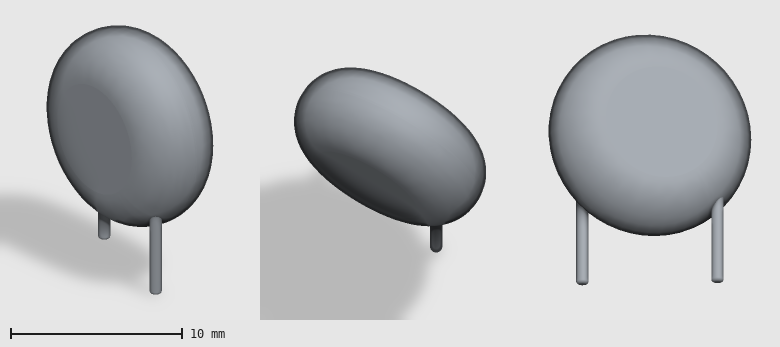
import cadquery as cq

body_diameter = 12.0
body_thickness = 5.4
edge_radius = 2.63

overall_height = 15.03
lead_diameter = 0.72
lead_pitch = 7.5
lead_stagger = 2.4
lead_tip_radius = 0.18

body_radius = body_diameter / 2
lead_bottom = body_radius - overall_height
lead_top = -lead_pitch / 2


def make_body():
    """Round disc with both circular edges rounded."""
    disc = cq.Workplane("XZ").circle(body_radius).extrude(body_thickness / 2, both=True)
    return disc.edges("%CIRCLE").fillet(edge_radius)


def make_lead(x, y):
    """Vertical round wire with a rounded lower tip."""
    wire = (
        cq.Workplane("XY", origin=(x, y, lead_bottom))
        .circle(lead_diameter / 2)
        .extrude(lead_top - lead_bottom)
    )
    return wire.faces("<Z").edges().fillet(lead_tip_radius)


result = make_body()
for side in (-1, 1):
    lead = make_lead(side * lead_pitch / 2, -side * lead_stagger / 2)
    result = result.union(lead)